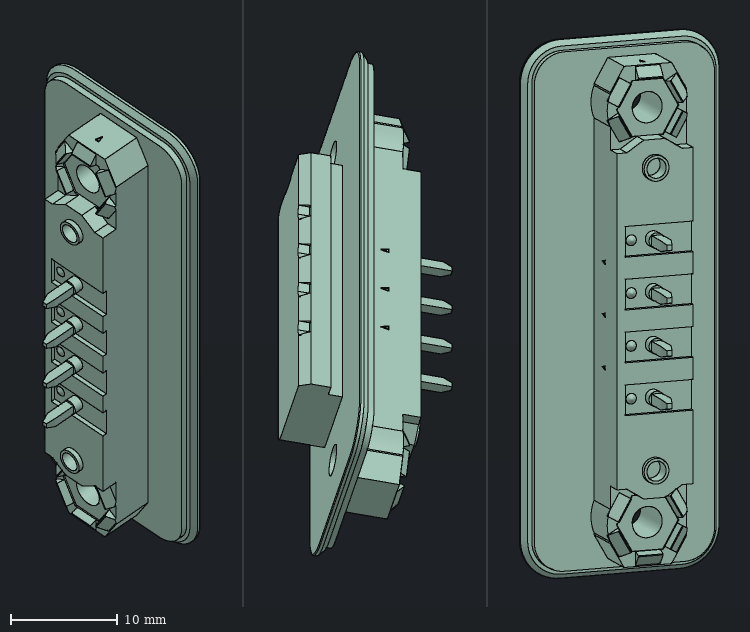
import cadquery as cq
import math


FLANGE_WIDTH = 20.05
FLANGE_HEIGHT = 51.95
FLANGE_CORNER_RADIUS = 3.95
RIM_THICKNESS = 0.95
RIM_BACK_CHAMFER = 0.1
RIM_FRONT_CHAMFER = 0.5
STEP_INSET = 0.95
FLANGE_THICKNESS = 1.6

BODY_LEFT = -3.05
BODY_RIGHT = 4.6
BODY_FRONT = -7.65
AXIS_X = 0.75

MOUNT_Z = 20.0
BOSS_FRONT = -5.85
BOSS_APOTHEM = 4.15
BOSS_ROUND_RADIUS = 4.1
HOLE_DIAMETER = 3.0
NUT_APOTHEM = 2.7
NUT_POCKET_DEPTH = 0.15
SHOULDER_Z = 16.2
SHOULDER_HALF_WIDTH = 2.8
NUT_SEAT_HALF_WIDTH = 1.1

RIB_WIDTH = 2.5
RIB_HEIGHT = 0.8
RIB_RIDGE_APOTHEM = 2.95
RIB_RIDGE_WIDTH = 0.1
RIB_OUTER_APOTHEM = 4.05

PEG_Z = 14.6
PEG_DIAMETER = 2.5
PEG_BORE_DIAMETER = 1.9
PEG_HEIGHT = 0.5
PEG_BORE_DEPTH = 1.55

PIN_COUNT = 4
PIN_PITCH = 5.1
SLOT_HEIGHT = 2.95
SLOT_LEFT = -2.25
SLOT_DEPTH = 0.45
PIN_SIZE = 1.05
PIN_TIP_SIZE = 0.5
PIN_TIP_LENGTH = 0.95
PIN_END = -11.55
COLLAR_DIAMETER = 1.5
NUB_X = -1.45
NUB_RADIUS = 0.5
NUB_HEIGHT = 0.35

BLOCK_HEIGHT = 30.55
BLOCK_BACK = 4.35
LIP_LEFT = -4.05
LIP_FRONT = 1.35
LIP_CHAMFER_X = 0.5
LIP_CHAMFER_Y = 1.1
BLOCK_CORNER_RADIUS = 1.15
KEYWAY_LEFT = -0.4
KEYWAY_RIGHT = 1.75
KEYWAY_DEPTH = 0.25
NOTCH_APEX_X = -3.25
NOTCH_HALF_HEIGHT = 0.95
NOTCH_MOUTH_HALF_HEIGHT = 0.7

MARK_LENGTH = 0.8
MARK_WIDTH = 0.4
MARK_DEPTH = 0.1
MARK_TIP = -3.75

pin_levels = [(i - (PIN_COUNT - 1) / 2) * PIN_PITCH for i in range(PIN_COUNT)]
mark_levels = [(i - (PIN_COUNT - 2) / 2) * PIN_PITCH for i in range(PIN_COUNT - 1)]


def plane_at(x, y, z):
    """Sketch plane facing -Y, with X to the right and Z up."""
    return cq.Workplane("XZ", origin=(x, y, z))


def span_box(x_range, y_range, z_range):
    """Box between two limits on each axis."""
    corner = [r[0] for r in (x_range, y_range, z_range)]
    size = [r[1] - r[0] for r in (x_range, y_range, z_range)]
    return cq.Workplane("XY").box(*size, centered=False).translate(tuple(corner))


def hexagon(plane, apothem):
    """Hexagon with flats facing +Z and -Z."""
    return plane.polygon(6, 2 * apothem / math.cos(math.pi / 6))


def rounded_plate(inset, thickness):
    width = FLANGE_WIDTH - 2 * inset
    height = FLANGE_HEIGHT - 2 * inset
    plate = plane_at(0, 0, 0).rect(width, height).extrude(thickness)
    return plate.edges("|Y").fillet(FLANGE_CORNER_RADIUS - inset)


def flange():
    rim = rounded_plate(0, RIM_THICKNESS)
    rim = rim.faces("<Y").edges().chamfer(RIM_FRONT_CHAMFER)
    rim = rim.faces(">Y").edges().chamfer(RIM_BACK_CHAMFER)
    return rim.union(rounded_plate(STEP_INSET, FLANGE_THICKNESS))


def body():
    """Full-depth bar whose ends are shaped around the nut seats."""
    base = span_box((BODY_LEFT, BODY_RIGHT), (BOSS_FRONT, 0), (-MOUNT_Z, MOUNT_Z))
    seat_z = MOUNT_Z - NUT_APOTHEM
    half_outline = [
        (BODY_RIGHT, SHOULDER_Z),
        (AXIS_X + SHOULDER_HALF_WIDTH, SHOULDER_Z),
        (AXIS_X + NUT_SEAT_HALF_WIDTH, seat_z),
        (AXIS_X - NUT_SEAT_HALF_WIDTH, seat_z),
        (AXIS_X - SHOULDER_HALF_WIDTH, SHOULDER_Z),
        (BODY_LEFT, SHOULDER_Z),
    ]
    mirrored = [(x, -z) for x, z in reversed(half_outline)]
    front_bar = plane_at(0, 0, 0).polyline(half_outline + mirrored).close().extrude(-BODY_FRONT)
    return base.union(front_bar)


def boss():
    """Upper mounting boss: a hexagon trimmed at both sides, rounded on the left."""
    depth = -BOSS_FRONT
    hexagonal = hexagon(plane_at(AXIS_X, 0, MOUNT_Z), BOSS_APOTHEM).extrude(depth)
    round_side = plane_at(AXIS_X, 0, MOUNT_Z).circle(BOSS_ROUND_RADIUS).extrude(depth)
    z_range = (MOUNT_Z - BOSS_APOTHEM, MOUNT_Z + BOSS_APOTHEM)
    trim = span_box((BODY_LEFT, BODY_RIGHT), (BOSS_FRONT, 0), z_range)
    round_trim = span_box((AXIS_X - BOSS_ROUND_RADIUS, AXIS_X), (BOSS_FRONT, 0), z_range)
    return hexagonal.intersect(trim).union(round_side.intersect(round_trim))


def nut_pocket():
    return hexagon(plane_at(AXIS_X, BOSS_FRONT, MOUNT_Z), NUT_APOTHEM).extrude(-NUT_POCKET_DEPTH)


def ribs():
    """Five ridged ribs around the nut; the side towards the body stays open."""
    profile = [
        (BOSS_FRONT, NUT_APOTHEM),
        (BOSS_FRONT - RIB_HEIGHT, RIB_RIDGE_APOTHEM),
        (BOSS_FRONT - RIB_HEIGHT, RIB_RIDGE_APOTHEM + RIB_RIDGE_WIDTH),
        (BOSS_FRONT, RIB_OUTER_APOTHEM),
    ]
    rib = cq.Workplane("YZ").polyline(profile).close().extrude(RIB_WIDTH / 2, both=True)
    group = rib
    for angle in (60, 120, -60, -120):
        group = group.union(rib.rotate((0, 0, 0), (0, 1, 0), angle))
    group = group.translate((AXIS_X, 0, MOUNT_Z))
    reach = 2 * RIB_OUTER_APOTHEM
    side_limit = span_box(
        (AXIS_X - reach, BODY_RIGHT), (BOSS_FRONT - RIB_HEIGHT, BOSS_FRONT), (0, FLANGE_HEIGHT)
    )
    return group.intersect(side_limit)


def peg():
    return plane_at(AXIS_X, BODY_FRONT, PEG_Z).circle(PEG_DIAMETER / 2).extrude(PEG_HEIGHT)


def peg_bore():
    plane = plane_at(AXIS_X, BODY_FRONT - PEG_HEIGHT, PEG_Z)
    return plane.circle(PEG_BORE_DIAMETER / 2).extrude(-PEG_BORE_DEPTH)


def mounting_hole():
    return plane_at(AXIS_X, 0, MOUNT_Z).circle(HOLE_DIAMETER / 2).extrude(-BODY_FRONT)


def both_ends(shape):
    return shape.union(shape.mirror("XY"))


def contact_slot(z):
    z_range = (z - SLOT_HEIGHT / 2, z + SLOT_HEIGHT / 2)
    return span_box((SLOT_LEFT, BODY_RIGHT), (BODY_FRONT, BODY_FRONT + SLOT_DEPTH), z_range)


def contact(z):
    """Collar level with the pegs, square pin with a tapered tip, and a conical nub beside it."""
    floor = BODY_FRONT + SLOT_DEPTH
    collar_height = SLOT_DEPTH + PEG_HEIGHT
    tip_start = PIN_END + PIN_TIP_LENGTH
    collar = plane_at(AXIS_X, floor, z).circle(COLLAR_DIAMETER / 2).extrude(collar_height)
    shank = plane_at(AXIS_X, floor, z).rect(PIN_SIZE, PIN_SIZE).extrude(floor - tip_start)
    tip = (
        plane_at(AXIS_X, tip_start, z)
        .rect(PIN_SIZE, PIN_SIZE)
        .workplane(offset=PIN_TIP_LENGTH)
        .rect(PIN_TIP_SIZE, PIN_TIP_SIZE)
        .loft()
    )
    nub = cq.Workplane(
        cq.Solid.makeCone(NUB_RADIUS, 0, NUB_HEIGHT, cq.Vector(NUB_X, floor, z), cq.Vector(0, -1, 0))
    )
    return collar.union(shank).union(tip).union(nub)


def lip_notch(z):
    """Pointed notch as deep as the lip chamfer, narrowing towards the left edge."""
    wide_x = LIP_LEFT + LIP_CHAMFER_X
    outline = [
        (NOTCH_APEX_X, 0),
        (wide_x, NOTCH_HALF_HEIGHT),
        (LIP_LEFT, NOTCH_MOUTH_HALF_HEIGHT),
        (LIP_LEFT, -NOTCH_MOUTH_HALF_HEIGHT),
        (wide_x, -NOTCH_HALF_HEIGHT),
    ]
    return plane_at(0, BLOCK_BACK, z).polyline(outline).close().extrude(LIP_CHAMFER_Y)


def mating_block():
    """Back block with a chamfered lip along its left side."""
    outline = [
        (BODY_LEFT, 0),
        (BODY_LEFT, LIP_FRONT),
        (LIP_LEFT, LIP_FRONT),
        (LIP_LEFT, BLOCK_BACK - LIP_CHAMFER_Y),
        (LIP_LEFT + LIP_CHAMFER_X, BLOCK_BACK),
        (BODY_RIGHT, BLOCK_BACK),
        (BODY_RIGHT, 0),
    ]
    block = cq.Workplane("XY").polyline(outline).close().extrude(BLOCK_HEIGHT / 2, both=True)
    block = block.edges("|Y and >X").fillet(BLOCK_CORNER_RADIUS)
    top = BLOCK_HEIGHT / 2
    keyway = span_box((KEYWAY_LEFT, KEYWAY_RIGHT), (0, BLOCK_BACK), (top - KEYWAY_DEPTH, top))
    block = block.cut(keyway)
    for z in pin_levels:
        block = block.cut(lip_notch(z))
    return block


def mark(plane):
    """Triangle in a plane whose second axis is Y, with its tip towards the flange."""
    base = MARK_TIP - MARK_LENGTH
    corners = [(0, MARK_TIP), (MARK_WIDTH / 2, base), (-MARK_WIDTH / 2, base)]
    return plane.polyline(corners).close().extrude(-MARK_DEPTH)


def marks():
    group = mark(cq.Workplane("XY", origin=(AXIS_X, 0, MOUNT_Z + BOSS_APOTHEM)))
    for z in mark_levels:
        side = cq.Plane(origin=(BODY_LEFT, 0, z), xDir=(0, 0, 1), normal=(-1, 0, 0))
        group = group.union(mark(cq.Workplane(side)))
    return group


result = flange().union(body()).union(mating_block())
result = result.union(both_ends(boss().union(ribs())))
result = result.union(both_ends(peg()))
result = result.cut(both_ends(nut_pocket().union(mounting_hole()))).cut(both_ends(peg_bore()))
for level in pin_levels:
    result = result.cut(contact_slot(level)).union(contact(level))
result = result.cut(marks())